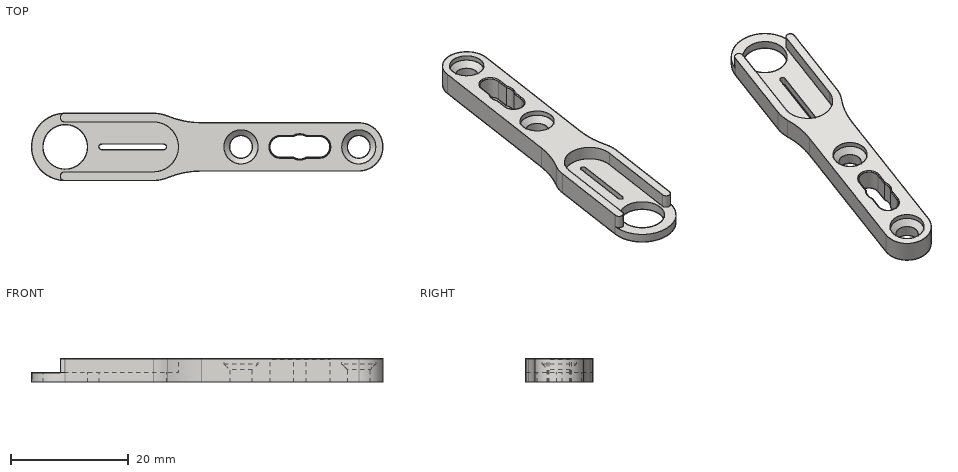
import cadquery as cq
import math

length = 59.75
thickness = 4.0
head_width = 11.5
shank_width = 8.25
head_radius = head_width / 2
shank_radius = shank_width / 2

shoulder_x = 20.75
convex_radius = 6.3
concave_radius = 15.0

floor_thickness = 1.6
recess_width = 8.5
recess_radius = recess_width / 2
rim_start_x = 4.9

head_hole_diameter = 7.5
slit_start_x = 11.5
slit_length = 11.5
slit_width = 0.9

screw_spacing = 20.0
screw_diameter = 3.8
screw_head_diameter = 5.8
counterbore_depth = 0.9

lobe_diameter = 4.1
slot_length = 10.15
slot_width = 3.5
slot_chamfer = 0.2

last_screw_x = length - shank_radius
first_screw_x = last_screw_x - screw_spacing
slot_x = (first_screw_x + last_screw_x) / 2


def make_body():
    """Rounded bar whose sides narrow through two tangent arcs."""
    drop = head_radius - shank_radius
    turn = math.acos(1 - drop / (convex_radius + concave_radius))

    def convex_point(angle):
        return (
            shoulder_x + convex_radius * math.sin(angle),
            head_radius - convex_radius * (1 - math.cos(angle)),
        )

    shoulder_end_x = shoulder_x + (convex_radius + concave_radius) * math.sin(turn)

    def concave_point(angle):
        return (
            shoulder_end_x - concave_radius * math.sin(angle),
            shank_radius + concave_radius * (1 - math.cos(angle)),
        )

    upper_half = (
        cq.Workplane("XY")
        .moveTo(0, 0)
        .threePointArc(
            (head_radius * (1 - math.sqrt(0.5)), head_radius * math.sqrt(0.5)),
            (head_radius, head_radius),
        )
        .lineTo(shoulder_x, head_radius)
        .threePointArc(convex_point(turn / 2), convex_point(turn))
        .threePointArc(concave_point(turn / 2), (shoulder_end_x, shank_radius))
        .lineTo(last_screw_x, shank_radius)
        .threePointArc(
            (
                last_screw_x + shank_radius * math.sqrt(0.5),
                shank_radius * math.sqrt(0.5),
            ),
            (length, 0),
        )
        .close()
        .extrude(thickness)
    )
    return upper_half.union(upper_half.mirror("XZ")).clean()


def make_recess():
    """Everything above the head floor except the two round-ended side rims."""
    wall = head_radius - recess_radius
    rim_end_x = rim_start_x + wall / 2
    floor = cq.Workplane("XY").workplane(offset=floor_thickness)
    depth = thickness - floor_thickness
    channel = floor.rect(2 * shoulder_x, recess_width).extrude(depth)
    round_end = floor.center(shoulder_x, 0).circle(recess_radius).extrude(depth)
    open_end = floor.rect(2 * rim_end_x, head_width).extrude(depth)
    rim_center_y = (head_radius + recess_radius) / 2
    rim_ends = (
        floor.pushPoints([(rim_end_x, rim_center_y), (rim_end_x, -rim_center_y)])
        .circle(wall / 2)
        .extrude(depth)
    )
    return open_end.cut(rim_ends).union(channel).union(round_end)


def make_floor_openings():
    """Large round hole at the head centre and the narrow slit beside it."""
    hole = (
        cq.Workplane("XY")
        .center(head_radius, 0)
        .circle(head_hole_diameter / 2)
        .extrude(thickness)
    )
    slit = (
        cq.Workplane("XY")
        .center(slit_start_x + slit_length / 2, 0)
        .slot2D(slit_length, slit_width)
        .extrude(thickness)
    )
    return hole.union(slit)


def make_screw_hole(x):
    """Revolved cutter with a 90 degree cone below the counterbore."""
    bore = screw_diameter / 2
    head = screw_head_diameter / 2
    cone_top = thickness - counterbore_depth
    cone_bottom = cone_top - (head - bore)
    return (
        cq.Workplane("XZ")
        .polyline([
            (0, 0),
            (bore, 0),
            (bore, cone_bottom),
            (head, cone_top),
            (head, thickness),
            (0, thickness),
        ])
        .close()
        .revolve(360, (0, 0, 0), (0, 1, 0))
        .translate((x, 0, 0))
    )


def make_lobed_slot():
    """Through slot with a chamfered mouth; a round lobe widens its middle."""
    long_slot = cq.Workplane("XY").slot2D(slot_length, slot_width).extrude(thickness)
    middle_lobe = cq.Workplane("XY").circle(lobe_diameter / 2).extrude(thickness)
    slot = long_slot.union(middle_lobe).clean()

    outline = slot.faces(">Z").wires().val().offset2D(slot_chamfer, "intersection")
    mouth = (
        cq.Workplane("XY")
        .workplane(offset=thickness)
        .newObject(outline)
        .toPending()
        .extrude(-slot_chamfer, taper=45)
    )
    return slot.union(mouth).translate((slot_x, 0, 0))


result = make_body().cut(make_recess()).cut(make_floor_openings()).cut(make_lobed_slot())
for screw_x in (first_screw_x, last_screw_x):
    result = result.cut(make_screw_hole(screw_x))